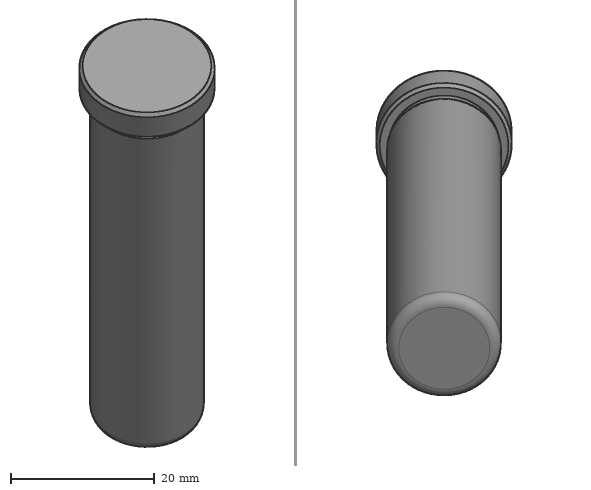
import cadquery as cq

total_length = 70.0
head_diameter = 19.0
head_height = 5.0
head_chamfer = 0.5
shank_diameter = 15.95
end_radius = 1.6

groove_diameter = 15.55
groove_width = 1.5

head_bottom = total_length - head_height
groove_bottom = head_bottom - groove_width
groove_depth = (shank_diameter - groove_diameter) / 2


def cylinder(diameter, bottom, top):
    """Solid cylinder on the Z axis between two heights."""
    return cq.Workplane("XY").workplane(offset=bottom).circle(diameter / 2).extrude(top - bottom)


head = cylinder(head_diameter, head_bottom, total_length).edges().chamfer(head_chamfer)

neck = cylinder(groove_diameter, groove_bottom, head_bottom)

shank = cylinder(shank_diameter, 0, groove_bottom + groove_depth)
shank = shank.faces("<Z").edges().fillet(end_radius)
shank = shank.faces(">Z").edges().chamfer(groove_depth)

result = head.union(neck).union(shank)